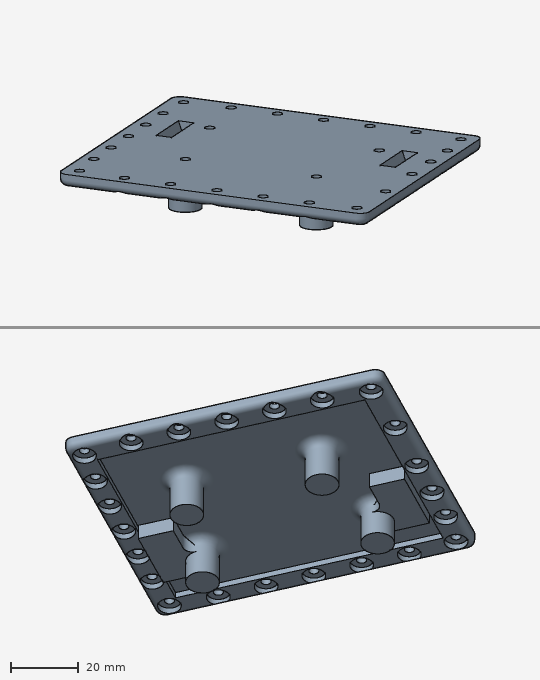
import cadquery as cq

PLATE_LENGTH = 100.0
PLATE_WIDTH = 85.0
RIM_HEIGHT = 4.0
FLOOR_THICKNESS = 2.0
RIM_WIDTH = 8.0
CORNER_RADIUS = 3.0
BOTTOM_EDGE_RADIUS = 2.0

SCREW_DIAMETER = 3.0
COUNTERBORE_DIAMETER = 7.0
COUNTERBORE_DEPTH = 2.0
EDGE_MARGIN = 4.0
CORNER_MARGIN = 5.0
LONG_EDGE_PITCH = 15.0
LEFT_EDGE_PITCH = 12.5
ROW_STEPS = range(-2, 3)
RIGHT_EDGE_HOLES_Y = (25.5, 13.5, 0.0, -19.0)

TOTAL_HEIGHT = 15.0
BOSS_DIAMETER = 10.0
BOSS_HOLE_DIAMETER = 3.0
BOSS_HOLE_DEPTH = 12.0
BOSS_FILLET = 3.0
REAR_BOSS_X = 27.5
REAR_BOSS_Y = 17.5
FRONT_BOSS_SPACING = 42.5
FRONT_BOSS_Y = -14.0

SLOT_X = 36.3
SLOT_Y = 12.0
SLOT_LENGTH = 16.0
SLOT_TOP_WIDTH = 5.0
SLOT_FLOOR_WIDTH = 1.2
SLOT_DEPTH = 5.3
BLOCK_WALL = 3.0
BLOCK_BOTTOM = 7.0

SIDES = (-1, 1)
HALF_LENGTH = PLATE_LENGTH / 2
HALF_WIDTH = PLATE_WIDTH / 2
BOSS_RADIUS = BOSS_DIAMETER / 2
FRONT_BOSS_X = FRONT_BOSS_SPACING / 2
BLOCK_WIDTH = SLOT_TOP_WIDTH + 2 * BLOCK_WALL
BLOCK_LENGTH = SLOT_LENGTH + 2 * BLOCK_WALL
SELECT_MARGIN = 0.1

REAR_BOSSES = [(side * REAR_BOSS_X, REAR_BOSS_Y) for side in SIDES]
FRONT_BOSSES = [(side * FRONT_BOSS_X, FRONT_BOSS_Y) for side in SIDES]
BOSS_POINTS = REAR_BOSSES + FRONT_BOSSES
SLOT_POINTS = [(side * SLOT_X, SLOT_Y) for side in SIDES]


def make_tray():
    """Rounded rectangular plate with a rounded lower edge and a recessed underside."""
    tray = cq.Workplane("XY").rect(PLATE_LENGTH, PLATE_WIDTH).extrude(-RIM_HEIGHT)
    tray = tray.edges("|Z").fillet(CORNER_RADIUS)
    tray = tray.faces("<Z").edges().fillet(BOTTOM_EDGE_RADIUS)
    recess = (
        cq.Workplane("XY", origin=(0, 0, -RIM_HEIGHT))
        .rect(PLATE_LENGTH - 2 * RIM_WIDTH, PLATE_WIDTH - 2 * RIM_WIDTH)
        .extrude(RIM_HEIGHT - FLOOR_THICKNESS)
    )
    return tray.cut(recess)


def make_bosses():
    """Four round bosses."""
    return cq.Workplane("XY").pushPoints(BOSS_POINTS).circle(BOSS_RADIUS).extrude(-TOTAL_HEIGHT)


def make_slot_blocks():
    """Rectangular blocks around the two slots."""
    return cq.Workplane("XY").pushPoints(SLOT_POINTS).rect(BLOCK_WIDTH, BLOCK_LENGTH).extrude(-BLOCK_BOTTOM)


def box_around(corner_a, corner_b):
    """Edge selector for a box with the given corners, grown by a small margin."""
    low = [min(pair) - SELECT_MARGIN for pair in zip(corner_a, corner_b)]
    high = [max(pair) + SELECT_MARGIN for pair in zip(corner_a, corner_b)]
    return cq.selectors.BoxSelector(low, high)


def fillet_bosses(body):
    """Round the boss bases and the front corners between rear bosses and blocks."""
    root_edges = body.newObject([])
    floor_edges = body.edges("%CIRCLE").edges(
        box_around(
            (-HALF_LENGTH, -HALF_WIDTH, -FLOOR_THICKNESS),
            (HALF_LENGTH, HALF_WIDTH, -FLOOR_THICKNESS),
        )
    )
    root_edges = root_edges.add(floor_edges)

    block_side_x = SLOT_X - BLOCK_WIDTH / 2
    corner_offset = (BOSS_RADIUS**2 - (block_side_x - REAR_BOSS_X) ** 2) ** 0.5
    corner_y = REAR_BOSS_Y - corner_offset
    for side in SIDES:
        corner = box_around(
            (side * block_side_x, corner_y, -BLOCK_BOTTOM),
            (side * block_side_x, corner_y, -FLOOR_THICKNESS),
        )
        root_edges = root_edges.add(body.edges("|Z").edges(corner))
    return root_edges.fillet(BOSS_FILLET)


def make_slots():
    """Trapezoidal grooves that narrow towards their floors."""
    half_top = SLOT_TOP_WIDTH / 2
    half_floor = SLOT_FLOOR_WIDTH / 2
    outline = [
        (-half_top, 0),
        (half_top, 0),
        (half_floor, -SLOT_DEPTH),
        (-half_floor, -SLOT_DEPTH),
    ]
    groove = cq.Workplane("XZ").polyline(outline).close().extrude(SLOT_LENGTH / 2, both=True)
    slots = cq.Workplane("XY")
    for x, y in SLOT_POINTS:
        slots = slots.add(groove.translate((x, y, 0)))
    return slots.combine()


def rim_hole_points():
    """Centres of all screw holes in the rim."""
    points = []
    for side in SIDES:
        for step in ROW_STEPS:
            points.append((step * LONG_EDGE_PITCH, side * (HALF_WIDTH - EDGE_MARGIN)))
        for end in SIDES:
            points.append((side * (HALF_LENGTH - CORNER_MARGIN), end * (HALF_WIDTH - CORNER_MARGIN)))
    for step in ROW_STEPS:
        points.append((-HALF_LENGTH + EDGE_MARGIN, step * LEFT_EDGE_PITCH))
    for y in RIGHT_EDGE_HOLES_Y:
        points.append((HALF_LENGTH - EDGE_MARGIN, y))
    return points


def make_round_cuts(points, diameter, start_z, height):
    """Upright cylinders of one size, rising from start_z."""
    plane = cq.Workplane("XY", origin=(0, 0, start_z))
    return plane.pushPoints(points).circle(diameter / 2).extrude(height)


rim_points = rim_hole_points()

result = make_tray().union(make_bosses()).union(make_slot_blocks())
result = fillet_bosses(result)
result = result.cut(make_slots())
result = result.cut(make_round_cuts(rim_points, SCREW_DIAMETER, -RIM_HEIGHT, RIM_HEIGHT))
result = result.cut(make_round_cuts(rim_points, COUNTERBORE_DIAMETER, -RIM_HEIGHT, COUNTERBORE_DEPTH))
result = result.cut(make_round_cuts(BOSS_POINTS, BOSS_HOLE_DIAMETER, -BOSS_HOLE_DEPTH, BOSS_HOLE_DEPTH))
result = result.solids()